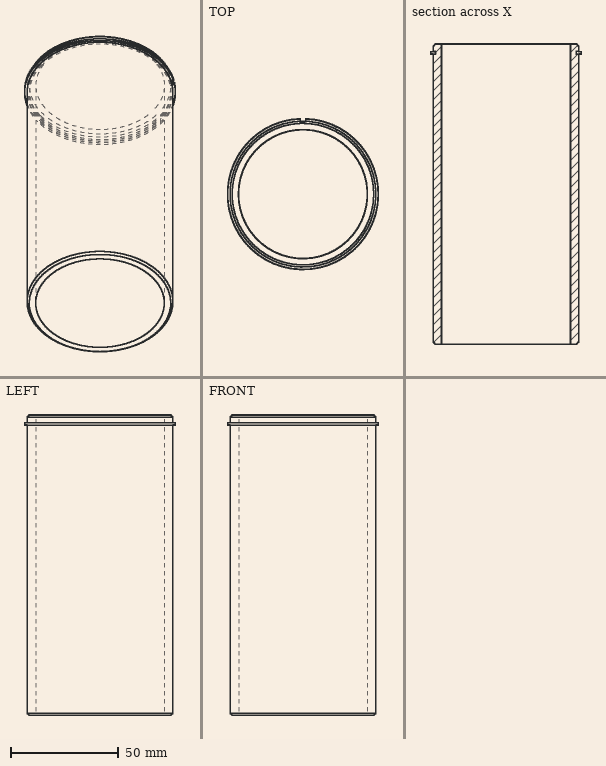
import cadquery as cq

LENGTH = 140.0
OUTER_DIAMETER = 68.0
BORE_DIAMETER = 60.0
END_CHAMFER = 1.0

RING_OUTER_DIAMETER = 70.4
RING_THICKNESS = 1.1
RING_TOP_DEPTH = 3.6
RING_GAP = 2.5
GROOVE_DIAMETER = 66.0
ring_top = LENGTH - RING_TOP_DEPTH
ring_bottom = ring_top - RING_THICKNESS


def annulus(outer_diameter, inner_diameter, bottom, height):
    """Flat-ended hollow cylinder about the Z axis."""
    return (
        cq.Workplane("XY", origin=(0, 0, bottom))
        .circle(outer_diameter / 2)
        .circle(inner_diameter / 2)
        .extrude(height)
    )


def make_sleeve():
    """Tube with chamfered outer ends and a snap ring groove near the top."""
    tube = (
        cq.Workplane("XY")
        .circle(OUTER_DIAMETER / 2)
        .extrude(LENGTH)
        .faces("<Z or >Z")
        .chamfer(END_CHAMFER)
        .faces(">Z")
        .workplane()
        .hole(BORE_DIAMETER)
    )
    groove = annulus(RING_OUTER_DIAMETER, GROOVE_DIAMETER, ring_bottom, RING_THICKNESS)
    return tube.cut(groove)


def make_snap_ring():
    """Split ring seated on the groove floor and standing proud of the sleeve."""
    ring = annulus(RING_OUTER_DIAMETER, GROOVE_DIAMETER, ring_bottom, RING_THICKNESS)
    split = cq.Workplane("XY", origin=(0, 0, ring_bottom)).box(
        RING_GAP, RING_OUTER_DIAMETER, RING_THICKNESS, centered=(True, False, False)
    )
    return ring.cut(split)


sleeve = make_sleeve()
snap_ring = make_snap_ring()

result = cq.Compound.makeCompound([sleeve.val(), snap_ring.val()])